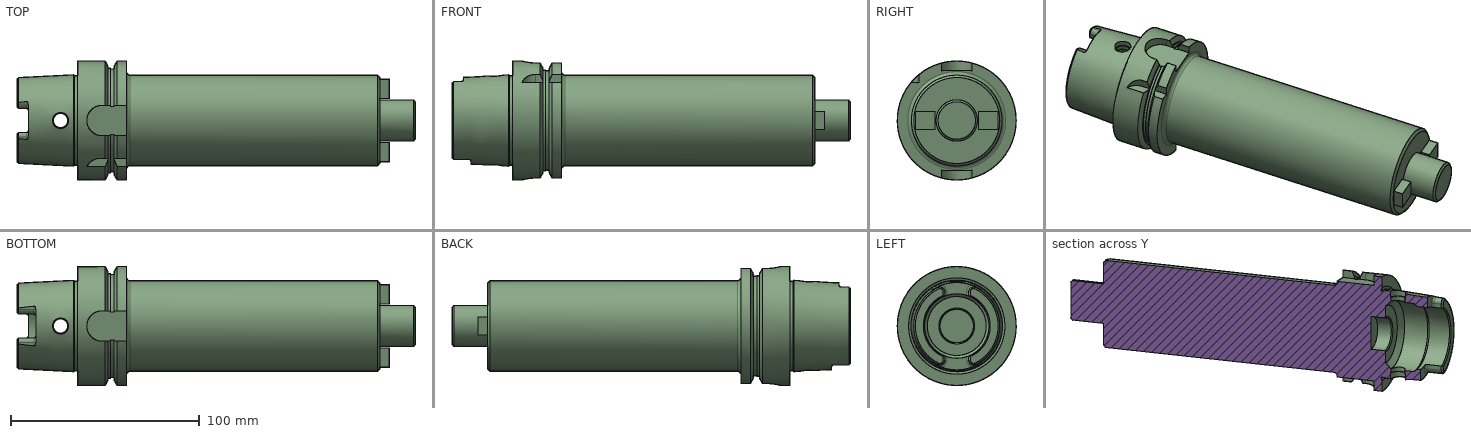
import cadquery as cq
import math

total_length = 211.0

taper_start_radius = 22.8
taper_end_radius = 24.3
taper_length = 30.0
taper_rim_chamfer = 0.8

relief_radius = 23.8
relief_outer_radius = 25.5
relief_depth = 0.6

flange_start = 32.0
flange_end = 58.0
flange_diameter = 63.0
flange_radius = flange_diameter / 2
groove_center = 49.8
groove_floor_radius = 27.5
groove_mouth_width = 6.3
groove_floor_width = 3.2
groove_wall_angle = 30.0
groove_ledge_radius = 27.9
groove_ledge_width = 1.3

body_radius = 24.0
body_end = 192.2
body_chamfer = 1.3
body_root_fillet = 2.0
pilot_radius = 11.0
pilot_chamfer = 1.0

bore_radius = 17.0
bore_chamfer = 0.6
undercut_start = 12.2
undercut_radius = 18.5
undercut_floor = 30.0
undercut_floor_radius = 15.6
center_hole_radius = 8.9
center_hole_depth = 8.5
center_hole_chamfer = 0.6

cross_hole_x = 23.0
cross_hole_radius = 3.8
cross_hole_step_radius = 4.2
cross_hole_step_height = 20.7

keyway_half_width = 6.3
keyway_shoulder_height = 20.7
keyway_shoulder_round = 2.5
keyway_floor_fillet = 1.0
keyway_mouth_chamfer = 0.8
upper_keyway_depth = 6.0
lower_keyway_depth = 10.0

slot_radius = 8.0
slot_floor_height = 26.4
slot_start = 37.0

notch_offset = 20.0
notch_arc_center_x = 44.0

key_length = 5.0
key_half_width = 4.9
key_inner = 11.5
key_outer = 22.0


def turned_down(shape):
    """Turn an upward feature half way round the tool axis."""
    return shape.rotate((0, 0, 0), (1, 0, 0), 180)


def make_turned_body():
    """Revolve the outer contour, solid inside."""
    mouth_start = groove_center - groove_mouth_width / 2
    mouth_end = groove_center + groove_mouth_width / 2
    floor_start = groove_center - groove_floor_width / 2
    floor_end = groove_center + groove_floor_width / 2
    ledge_end = floor_start + groove_ledge_width
    cone_depth = (floor_start - mouth_start) / math.tan(math.radians(groove_wall_angle))
    cone_root_radius = flange_radius - cone_depth
    return (
        cq.Workplane("XY")
        .lineTo(0, taper_start_radius - taper_rim_chamfer)
        .lineTo(taper_rim_chamfer, taper_start_radius)
        .lineTo(taper_length, taper_end_radius)
        .lineTo(taper_length + taper_end_radius - relief_radius, relief_radius)
        .lineTo(flange_start + relief_depth, relief_radius)
        .lineTo(flange_start, relief_outer_radius)
        .lineTo(flange_start, flange_radius)
        .lineTo(mouth_start, flange_radius)
        .lineTo(floor_start, cone_root_radius)
        .lineTo(floor_start, groove_ledge_radius)
        .lineTo(ledge_end, groove_ledge_radius)
        .lineTo(ledge_end, groove_floor_radius)
        .lineTo(floor_end, groove_floor_radius)
        .lineTo(floor_end, cone_root_radius)
        .lineTo(mouth_end, flange_radius)
        .lineTo(flange_end, flange_radius)
        .lineTo(flange_end, body_radius + body_root_fillet)
        .radiusArc((flange_end + body_root_fillet, body_radius), -body_root_fillet)
        .lineTo(body_end - body_chamfer, body_radius)
        .lineTo(body_end, body_radius - body_chamfer)
        .lineTo(body_end, pilot_radius)
        .lineTo(total_length - pilot_chamfer, pilot_radius)
        .lineTo(total_length, pilot_radius - pilot_chamfer)
        .lineTo(total_length, 0)
        .close()
        .revolve(360, (0, 0, 0), (1, 0, 0))
    )


def make_bore():
    """Stepped clamping bore with an undercut and a blind center hole."""
    undercut_step = undercut_radius - bore_radius
    floor_step = undercut_radius - undercut_floor_radius
    hole_end = undercut_floor + center_hole_depth
    return (
        cq.Workplane("XY")
        .lineTo(0, bore_radius + bore_chamfer)
        .lineTo(bore_chamfer, bore_radius)
        .lineTo(undercut_start, bore_radius)
        .lineTo(undercut_start + undercut_step, undercut_radius)
        .lineTo(undercut_floor - floor_step, undercut_radius)
        .lineTo(undercut_floor, undercut_floor_radius)
        .lineTo(undercut_floor, center_hole_radius + center_hole_chamfer)
        .lineTo(undercut_floor + center_hole_chamfer, center_hole_radius)
        .lineTo(hole_end, center_hole_radius)
        .lineTo(hole_end, 0)
        .close()
        .revolve(360, (0, 0, 0), (1, 0, 0))
    )


def make_cross_hole():
    """Through hole along Z, slightly wider near the outer surface at both ends."""
    hole = (
        cq.Workplane("XY")
        .center(cross_hole_x, 0)
        .circle(cross_hole_radius)
        .extrude(flange_radius, both=True)
    )
    upper_step = (
        cq.Workplane("XY", origin=(cross_hole_x, 0, cross_hole_step_height))
        .circle(cross_hole_step_radius)
        .extrude(flange_radius - cross_hole_step_height)
    )
    return hole.union(upper_step).union(turned_down(upper_step))


def keyway_outline(growth):
    """Keyway section, straight flanks that round over into flat shoulders, grown outward."""
    half_width = keyway_half_width + growth
    shoulder_height = keyway_shoulder_height - growth
    shoulder_round = keyway_shoulder_round - growth
    shoulder_y = half_width + shoulder_round
    flank_top = shoulder_height - shoulder_round
    return (
        cq.Workplane("YZ")
        .moveTo(-half_width, 0)
        .lineTo(-half_width, flank_top)
        .radiusArc((-shoulder_y, shoulder_height), -shoulder_round)
        .lineTo(-flange_radius, shoulder_height)
        .lineTo(-flange_radius, flange_radius)
        .lineTo(flange_radius, flange_radius)
        .lineTo(flange_radius, shoulder_height)
        .lineTo(shoulder_y, shoulder_height)
        .radiusArc((half_width, flank_top), -shoulder_round)
        .lineTo(half_width, 0)
        .close()
    )


def make_keyway(depth):
    """Upward keyway cutter with a filleted floor and a chamfered mouth."""
    channel = keyway_outline(0).extrude(depth).faces(">X").edges().fillet(keyway_floor_fillet)
    mouth = keyway_outline(keyway_mouth_chamfer).extrude(keyway_mouth_chamfer, taper=45)
    return channel.union(mouth)


def make_slot():
    """Upward gripper slot cutter with a round end, open toward the body."""
    center_x = slot_start + slot_radius
    length = flange_end - center_x
    height = flange_radius - slot_floor_height
    straight = cq.Workplane("XY").box(length, 2 * slot_radius, height, centered=(False, True, False))
    round_end = cq.Workplane("XY").circle(slot_radius).extrude(height)
    return straight.union(round_end).translate((center_x, 0, slot_floor_height))


def make_notch():
    """Square-cornered notch on the upper front side of the flange, with an arc run-out."""
    height = flange_radius - notch_offset
    return (
        cq.Workplane("XY", origin=(0, 0, notch_offset))
        .moveTo(flange_end, -notch_offset)
        .lineTo(notch_arc_center_x, -notch_offset)
        .radiusArc((notch_arc_center_x - slot_radius, -notch_offset - slot_radius), -slot_radius)
        .lineTo(notch_arc_center_x - slot_radius, -flange_radius)
        .lineTo(flange_end, -flange_radius)
        .close()
        .extrude(height)
    )


def make_drive_key(side):
    """One block on the end face of the body, on the +Y or -Y side."""
    center_y = side * (key_inner + key_outer) / 2
    return (
        cq.Workplane("YZ", origin=(body_end, center_y, 0))
        .rect(key_outer - key_inner, 2 * key_half_width)
        .extrude(key_length)
    )


result = make_turned_body()
for side in (-1, 1):
    result = result.union(make_drive_key(side))
result = result.cut(make_bore())
result = result.cut(make_cross_hole())
result = result.cut(make_keyway(upper_keyway_depth))
result = result.cut(turned_down(make_keyway(lower_keyway_depth)))
result = result.cut(make_slot())
result = result.cut(turned_down(make_slot()))
result = result.cut(make_notch())